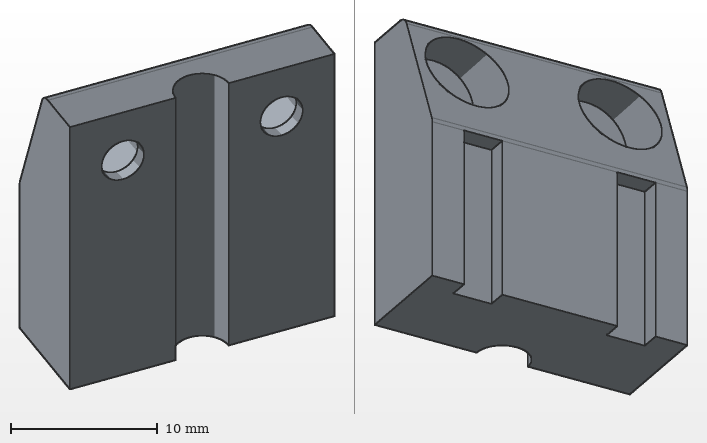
import cadquery as cq
import math

thickness = 8.0
width = 20.0
height = 22.0

slope_start = 12.19
slope_angle = 21.2
edge_radius = 1.0
selection_margin = 0.22

hole_diameter = 3.2
counterbore_diameter = 6.4
hole_spacing = 12.0
hole_height = 18.0
counterbore_floor = 7.0

groove_inner = 4.5
groove_outer = 7.5
groove_depth = 1.5
groove_top = 12.0

channel_radius = 2.0


def make_body():
    """Block with a sloped -X face, rounded at both ends of the slope."""
    slope_run = (height - slope_start) * math.tan(math.radians(slope_angle))
    body = (
        cq.Workplane("XZ")
        .moveTo(0, 0)
        .lineTo(thickness, 0)
        .lineTo(thickness, height)
        .lineTo(slope_run, height)
        .lineTo(0, slope_start)
        .close()
        .extrude(width / 2, both=True)
    )
    slope_edges = cq.selectors.BoxSelector(
        (-selection_margin, -width, slope_start - selection_margin),
        (slope_run + selection_margin, width, height + selection_margin),
    )
    return body.edges("|Y").edges(slope_edges).fillet(edge_radius)


def cylinder_along_x(diameter, y, length):
    """Cylinder from the -X plane into the block at the screw height."""
    return (
        cq.Workplane("YZ")
        .center(y, hole_height)
        .circle(diameter / 2)
        .extrude(length)
    )


def make_groove(side):
    groove_width = groove_outer - groove_inner
    groove_center = side * (groove_outer + groove_inner) / 2
    return (
        cq.Workplane("XY")
        .box(groove_depth, groove_width, groove_top, centered=(False, True, False))
        .translate((0, groove_center, 0))
    )


result = make_body()
for side in (-1, 1):
    hole_y = side * hole_spacing / 2
    result = result.cut(cylinder_along_x(hole_diameter, hole_y, thickness))
    result = result.cut(cylinder_along_x(counterbore_diameter, hole_y, counterbore_floor))
    result = result.cut(make_groove(side))

channel = cq.Workplane("XY").center(thickness, 0).circle(channel_radius).extrude(height)
result = result.cut(channel)